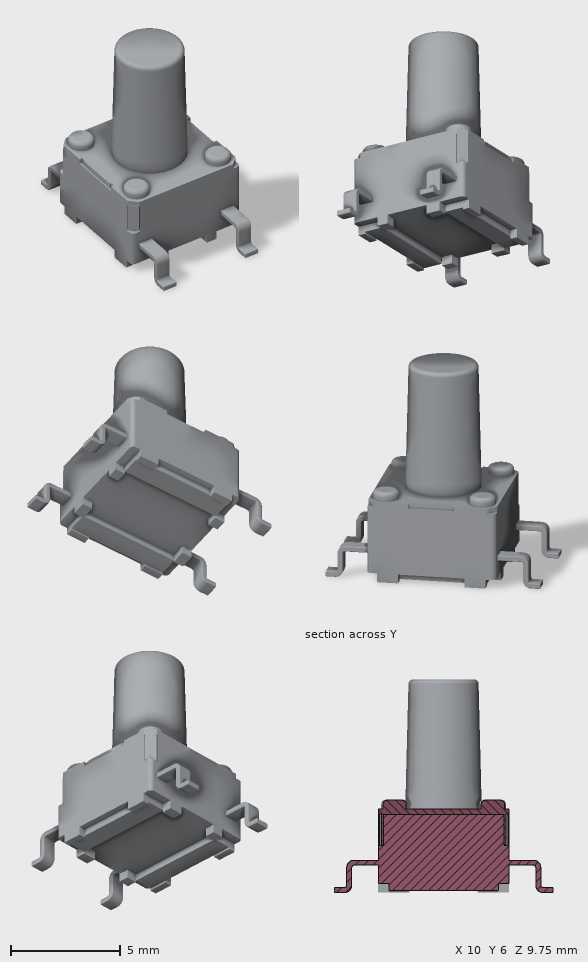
import cadquery as cq
import math


body_size = 6.0
body_bottom = 0.425
body_top = 3.6
corner_radius = 0.2

tab_leg = 0.37
tab_bottom = 2.2
tab_clearance = 0.035

end_foot_inner_x = 1.55
end_foot_outer_x = 2.52
end_foot_depth = 0.35
side_foot_depth = 0.5
front_side_foot_span = (-1.7, -1.0)
rear_side_foot_span = (1.125, 1.675)

bar_bottom = 0.1
bar_inner_y = 1.7

lead_span = 10.0
lead_width = 0.72
lead_spacing = 4.52
lead_thickness = 0.25
lead_top = 1.5
lead_shank_x = 4.45
lead_inner_radius = 0.1
lead_outer_radius = lead_inner_radius + lead_thickness
lead_edge_radius = 0.04

cover_thickness = 0.25
cover_top = body_top + cover_thickness
cover_chamfer = 0.4
cover_corner_radius = 0.1
cover_recess_half_width = 1.06
rear_recess_depth = 0.18
front_recess_depth = 0.08
front_notch_half_width = 1.27
front_notch_depth = 0.15

boss_spacing = 4.5
boss_diameter = 1.2
boss_height = 0.4
boss_edge_radius = 0.2

button_top = 9.75
button_base_radius = 1.75
button_tip_radius = 1.6
button_edge_radius = 0.2

half_body = body_size / 2
tab_width = tab_leg * math.sqrt(2)


def block(x_span, y_span, z_span):
    """Rectangular block between the given limits along each axis."""
    return cq.Workplane("XY").box(
        x_span[1] - x_span[0],
        y_span[1] - y_span[0],
        z_span[1] - z_span[0],
        centered=False,
    ).translate((x_span[0], y_span[0], z_span[0]))


def corner_slab(side, width, outward, z_span):
    """Upright slab set at 45 degrees across the front corner on the given X side.

    It reaches one cover thickness inward from the tab's outer face and the given distance outward.
    """
    face_centre = (side * (half_body - tab_leg / 2), -half_body + tab_leg / 2)
    depth = cover_thickness + outward
    return (
        cq.Workplane("XY")
        .box(depth, width, z_span[1] - z_span[0], centered=(False, True, False))
        .translate((-cover_thickness, 0, z_span[0]))
        .rotate((0, 0, 0), (0, 0, 1), -90 + side * 45)
        .translate((*face_centre, 0))
    )


def make_lead():
    """Gull-wing lead leaving the housing toward -X, centred on Y = 0."""
    tip_x = -lead_span / 2
    shank_outer_x = -lead_shank_x
    shank_inner_x = shank_outer_x + lead_thickness
    lead = (
        cq.Workplane("XZ")
        .moveTo(-half_body, lead_top)
        .lineTo(shank_outer_x + lead_outer_radius, lead_top)
        .radiusArc((shank_outer_x, lead_top - lead_outer_radius), -lead_outer_radius)
        .lineTo(shank_outer_x, lead_outer_radius)
        .radiusArc((shank_outer_x - lead_inner_radius, lead_thickness), lead_inner_radius)
        .lineTo(tip_x, lead_thickness)
        .lineTo(tip_x, 0)
        .lineTo(shank_inner_x - lead_outer_radius, 0)
        .radiusArc((shank_inner_x, lead_outer_radius), -lead_outer_radius)
        .lineTo(shank_inner_x, lead_top - lead_outer_radius)
        .radiusArc((shank_inner_x + lead_inner_radius, lead_top - lead_thickness), lead_inner_radius)
        .lineTo(-half_body, lead_top - lead_thickness)
        .close()
        .extrude(lead_width / 2, both=True)
    )
    return lead.faces("<Y or >Y or <X").edges().fillet(lead_edge_radius)


def make_feet():
    """Corner feet, side feet and the shallow bars joining the corner feet."""
    foot_height = (0, body_bottom)
    feet = []
    for end in (-1, 1):
        end_y = sorted((end * half_body, end * (half_body - end_foot_depth)))
        bar_y = sorted((end * (half_body - end_foot_depth), end * bar_inner_y))
        feet.append(block((-end_foot_outer_x, end_foot_outer_x), bar_y, (bar_bottom, body_bottom)))
        for side in (-1, 1):
            end_x = sorted((side * end_foot_inner_x, side * end_foot_outer_x))
            feet.append(block(end_x, end_y, foot_height))
    for side in (-1, 1):
        side_x = sorted((side * half_body, side * (half_body - side_foot_depth)))
        for span in (front_side_foot_span, rear_side_foot_span):
            feet.append(block(side_x, span, foot_height))
    return feet


def make_housing():
    housing = block(
        (-half_body, half_body), (-half_body, half_body), (body_bottom, body_top)
    ).edges("|Z").fillet(corner_radius)
    for side in (-1, 1):
        pocket_width = tab_width + 2 * tab_clearance
        pocket_z = (tab_bottom - tab_clearance, body_top)
        housing = housing.cut(corner_slab(side, pocket_width, tab_leg, pocket_z))
    for foot in make_feet():
        housing = housing.union(foot)
    lead = make_lead()
    for turn in (0, 180):
        for y in (-lead_spacing / 2, lead_spacing / 2):
            placed_lead = lead.rotate((0, 0, 0), (0, 0, 1), turn).translate((0, y, 0))
            housing = housing.union(placed_lead)
    return housing


def make_button():
    """Tapered button standing on the housing and passing through the cover."""
    return (
        cq.Workplane("XZ")
        .moveTo(0, body_top)
        .lineTo(button_base_radius, body_top)
        .lineTo(button_base_radius, cover_top)
        .lineTo(button_tip_radius, button_top)
        .lineTo(0, button_top)
        .close()
        .revolve(360, (0, 0, 0), (0, 1, 0))
        .faces(">Z")
        .edges()
        .fillet(button_edge_radius)
    )


def make_cover():
    plate_z = (body_top, cover_top)
    recess_x = (-cover_recess_half_width, cover_recess_half_width)
    cover = block((-half_body, half_body), (-half_body, half_body), plate_z)
    cover = cover.edges("|Z").chamfer(cover_chamfer)
    cover = cover.edges("|Z").fillet(cover_corner_radius)

    cover = cover.cut(block(recess_x, (half_body - rear_recess_depth, half_body), plate_z))
    cover = cover.cut(block(recess_x, (-half_body, -half_body + front_recess_depth), plate_z))
    for side in (-1, 1):
        notch_x = sorted((side * cover_recess_half_width, side * front_notch_half_width))
        cover = cover.cut(block(notch_x, (-half_body, -half_body + front_notch_depth), plate_z))

    for side in (-1, 1):
        cover = cover.union(corner_slab(side, tab_width, 0, (tab_bottom, body_top)))

    bosses = (
        cq.Workplane("XY", origin=(0, 0, cover_top))
        .rect(boss_spacing, boss_spacing, forConstruction=True)
        .vertices()
        .circle(boss_diameter / 2)
        .extrude(boss_height)
        .faces(">Z")
        .edges()
        .fillet(boss_edge_radius)
    )
    button_hole = (
        cq.Workplane("XY", origin=(0, 0, body_top))
        .circle(button_base_radius)
        .extrude(cover_thickness)
    )
    return cover.union(bosses).cut(button_hole)


housing = make_housing()
cover = make_cover()
button = make_button()

result = cq.Compound.makeCompound([housing.val(), cover.val(), button.val()])